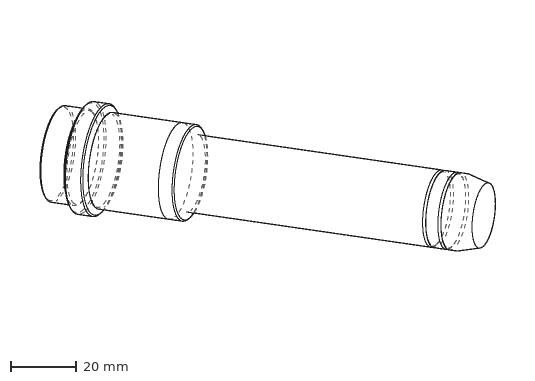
import cadquery as cq
import math


total_length = 140.0
collar_start = 9.0
collar_width = 6.0
fit_end = 39.0
shoulder_end = 44.0
groove_starts = (124.5, 129.5)
nose_length = 7.0

head_diameter = 30.0
collar_diameter = 35.0
lead_in_diameter = 29.98
shank_diameter = 24.0

edge_chamfer = 0.5
relief_width = 1.0
shank_fillet = 0.5
groove_width = 1.0
nose_angle = 15.0

collar_end = collar_start + collar_width
nose_start = total_length - nose_length
head_radius = head_diameter / 2
collar_radius = collar_diameter / 2
lead_in_radius = lead_in_diameter / 2
shank_radius = shank_diameter / 2
nose_radius = shank_radius - nose_length * math.tan(math.radians(nose_angle))


def draw_round_groove(profile, start, width, radius):
    """Half-round groove cut below the given radius."""
    return profile.lineTo(start, radius).threePointArc(
        (start + width / 2, radius - width / 2), (start + width, radius)
    )


def draw_relief(profile, start):
    """Relief groove beside the collar."""
    return draw_round_groove(profile, start, relief_width, head_radius)


def draw_head(profile):
    """Chamfered head with a relief in front of the collar."""
    profile = profile.lineTo(0, head_radius - edge_chamfer).lineTo(edge_chamfer, head_radius)
    return draw_relief(profile, collar_start - relief_width)


def draw_collar(profile):
    """Collar with both rims chamfered."""
    return (
        profile.lineTo(collar_start, collar_radius - edge_chamfer)
        .lineTo(collar_start + edge_chamfer, collar_radius)
        .lineTo(collar_end - edge_chamfer, collar_radius)
        .lineTo(collar_end, collar_radius - edge_chamfer)
    )


def draw_shoulder(profile):
    """Relief behind the collar, fitting length, slightly smaller lead-in and end chamfer."""
    return (
        draw_relief(profile, collar_end)
        .lineTo(fit_end, head_radius)
        .lineTo(fit_end, lead_in_radius)
        .lineTo(shoulder_end - edge_chamfer, lead_in_radius)
        .lineTo(shoulder_end, lead_in_radius - edge_chamfer)
        .lineTo(shoulder_end, shank_radius + shank_fillet)
    )


def draw_shank(profile):
    """Shank with a filleted root, two round grooves and a tapered nose."""
    profile = profile.radiusArc((shoulder_end + shank_fillet, shank_radius), -shank_fillet)
    for start in groove_starts:
        profile = draw_round_groove(profile, start, groove_width, shank_radius)
    return (
        profile.lineTo(nose_start, shank_radius)
        .lineTo(total_length, nose_radius)
        .lineTo(total_length, 0)
    )


half_profile = cq.Workplane("XY").moveTo(0, 0)
for draw_section in (draw_head, draw_collar, draw_shoulder, draw_shank):
    half_profile = draw_section(half_profile)

result = half_profile.close().revolve(360, (0, 0, 0), (1, 0, 0))